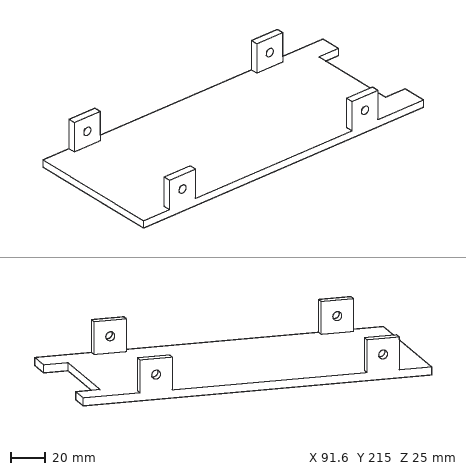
import cadquery as cq

plate_width = 91.6
plate_length = 214.99
plate_thickness = 5.0

notch_left = 14.2
notch_width = 60.5
notch_depth = 15.0

tab_thickness = 5.0
tab_length = 20.0
tab_height = 20.0
tab_starts = (19.99, 160.0)
tab_hole_diameter = 5.4
tab_hole_height = 15.2


def make_plate():
    """Flat plate with its -X, -Y, bottom corner at the origin."""
    plate = cq.Workplane("XY").box(plate_width, plate_length, plate_thickness, centered=False)
    notch = (
        cq.Workplane("XY")
        .box(notch_width, notch_depth, plate_thickness, centered=False)
        .translate((notch_left, plate_length - notch_depth, 0))
    )
    return plate.cut(notch)


def make_tab(x_start, y_start):
    """Tab standing on the plate, rooted through its full thickness."""
    return (
        cq.Workplane("XY")
        .box(tab_thickness, tab_length, plate_thickness + tab_height, centered=False)
        .translate((x_start, y_start, 0))
    )


def make_tab_hole(y_start):
    """Cylinder along X that pierces both tabs of a facing pair."""
    return (
        cq.Workplane("YZ")
        .center(y_start + tab_length / 2, tab_hole_height)
        .circle(tab_hole_diameter / 2)
        .extrude(plate_width)
    )


result = make_plate()
for tab_start in tab_starts:
    for tab_x in (0, plate_width - tab_thickness):
        result = result.union(make_tab(tab_x, tab_start))
    result = result.cut(make_tab_hole(tab_start))